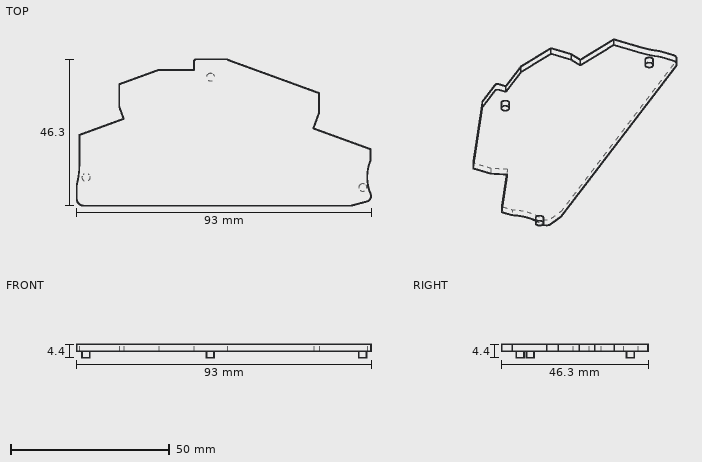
import cadquery as cq
import math

length = 92.99
width = 46.31
plate_thickness = 2.3
pin_length = 2.1

slope = math.tan(math.radians(20))

left_wall_x = 0.85
left_foot_top = 6.6
left_wall_bottom = 13.3
left_shoulder_y = 22.4
left_neck_x = 14.8
left_upper_x = 13.4
left_upper_top = 38.4

left_top_y = 42.95
step_x = 37.0
top_end_x = 47.5
top_break_x = 48.3

right_upper_x = 76.6
right_upper_top = 35.6
right_undercut_top = 29.4
right_neck_x = 74.8
right_wall_x = 92.8
right_wall_bottom = 14.3
right_hollow_x = 91.8
right_foot_top = 3.4
bottom_end_x = 86.7
foot_slope = math.tan(math.radians(15))

bottom_left_radius = 2.2
bottom_right_radius = 1.8
step_radius = 0.8
pick_margin = 0.01

pin_diameter = 2.5
pin_centers = [(2.9, 9.05), (42.2, 40.7), (90.3, 5.85)]

left_neck_y = left_shoulder_y + slope * (left_neck_x - left_wall_x)
left_undercut_top = left_neck_y + (left_neck_x - left_upper_x) / slope
left_top_x = left_upper_x + (left_top_y - left_upper_top) / slope
right_neck_y = right_undercut_top - (right_upper_x - right_neck_x) / slope
right_shoulder_y = right_neck_y - slope * (right_wall_x - right_neck_x)
top_break_y = right_upper_top + slope * (right_upper_x - top_break_x)
right_hollow_y = (right_wall_bottom + right_foot_top) / 2
right_foot_y = foot_slope * (length - bottom_end_x)

flare_height = left_wall_bottom - left_foot_top
flare_radius = (flare_height**2 + left_wall_x**2) / (2 * left_wall_x)
flare_half_angle = math.asin(flare_height / flare_radius) / 2
flare_middle = (
    left_wall_x - flare_radius * (1 - math.cos(flare_half_angle)),
    left_wall_bottom - flare_radius * math.sin(flare_half_angle),
)


def round_corner(body, x, y, radius):
    """Round the vertical edge of the plate that stands at (x, y)."""
    low_corner = (x - pick_margin, y - pick_margin, -pick_margin)
    high_corner = (x + pick_margin, y + pick_margin, plate_thickness + pick_margin)
    corner = cq.selectors.BoxSelector(low_corner, high_corner)
    return body.edges("|Z").edges(corner).fillet(radius)


def make_plate():
    plate = (
        cq.Workplane("XY")
        .moveTo(0, 0)
        .lineTo(0, left_foot_top)
        .threePointArc(flare_middle, (left_wall_x, left_wall_bottom))
        .lineTo(left_wall_x, left_shoulder_y)
        .lineTo(left_neck_x, left_neck_y)
        .lineTo(left_upper_x, left_undercut_top)
        .lineTo(left_upper_x, left_upper_top)
        .lineTo(left_top_x, left_top_y)
        .lineTo(step_x, left_top_y)
        .lineTo(step_x, width)
        .lineTo(top_end_x, width)
        .lineTo(top_break_x, top_break_y)
        .lineTo(right_upper_x, right_upper_top)
        .lineTo(right_upper_x, right_undercut_top)
        .lineTo(right_neck_x, right_neck_y)
        .lineTo(right_wall_x, right_shoulder_y)
        .lineTo(right_wall_x, right_wall_bottom)
        .threePointArc((right_hollow_x, right_hollow_y), (length, right_foot_top))
        .lineTo(length, right_foot_y)
        .lineTo(bottom_end_x, 0)
        .close()
        .extrude(plate_thickness)
    )
    plate = round_corner(plate, 0, 0, bottom_left_radius)
    plate = round_corner(plate, step_x, width, step_radius)
    return round_corner(plate, length, right_foot_y, bottom_right_radius)


def make_pins():
    return (
        cq.Workplane("XY")
        .pushPoints(pin_centers)
        .circle(pin_diameter / 2)
        .extrude(-pin_length)
    )


result = make_plate().union(make_pins())